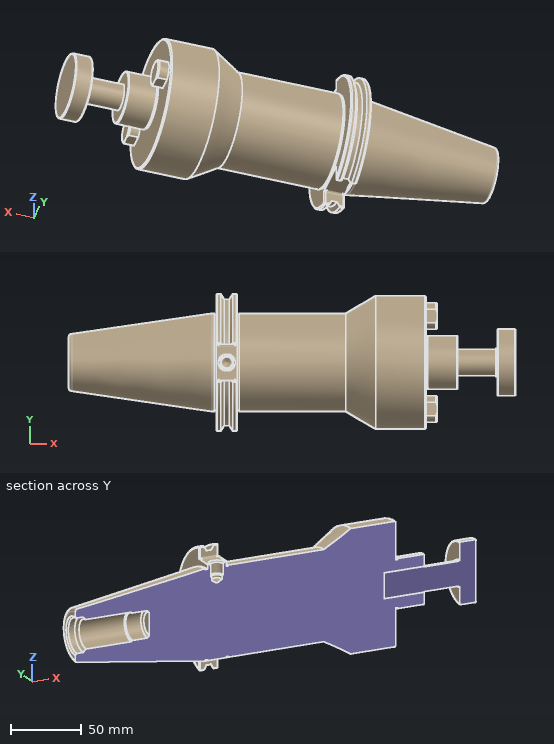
import cadquery as cq
import math

TOTAL_LENGTH = 318.0
EDGE_CHAMFER = 1.0
FINE_CHAMFER = 0.5

GAUGE_X = 101.8
GAUGE_DIAMETER = 70.0
TAPER_RATIO = 7 / 24
TAPER_END_DIAMETER = GAUGE_DIAMETER - GAUGE_X * TAPER_RATIO
TAPER_END_FILLET = 2.5

MOUTH_DIAMETER = 26.5
MOUTH_DEPTH = 6.5
MOUTH_CHAMFER = 1.3
THREAD_DIAMETER = 22.0
THREAD_DEPTH = 44.5
TAPPING_DIAMETER = 20.5
TAPPING_DEPTH = 57.3
BORE_END_DIAMETER = 17.2

FLANGE_X = 105.0
FLANGE_WIDTH = 15.3
FLANGE_DIAMETER = 98.0
FLANGE_END_X = FLANGE_X + FLANGE_WIDTH
V_GROOVE_X = 112.5
V_GROOVE_DEPTH = 3.8
V_GROOVE_FLOOR_WIDTH = 3.8
V_GROOVE_HALF_ANGLE = 30.0

RELIEF_WIDTH = 1.3
FLANGE_RELIEF_DIAMETER = 68.7
PILOT_RELIEF_DIAMETER = 36.5

NOTCH_WIDTH = 26.0
TOP_NOTCH_FLOOR_Z = 38.0
BOTTOM_NOTCH_FLOOR_Z = -35.0
NOTCH_FLOOR_FILLET = 1.0

FLOOR_HOLE_X = 112.5
FLOOR_HOLE_MOUTH_DIAMETER = 12.0
FLOOR_HOLE_THREAD_DIAMETER = 9.5
FLOOR_HOLE_THREAD_DEPTH = 9.5
FLOOR_HOLE_DRILL_DIAMETER = 8.0
FLOOR_HOLE_DEPTH = 12.7
DRILL_POINT_ANGLE = 118.0

BODY_DIAMETER = GAUGE_DIAMETER
BODY_END_X = 197.3
HEAD_X = 218.5
HEAD_DIAMETER = 95.0
HEAD_END_X = 254.5

PILOT_DIAMETER = 38.2
PILOT_END_X = 277.0

KEY_DIAMETER = 19.0
KEY_WIDTH = 16.5
KEY_HEIGHT = 8.0
KEY_OFFSET = 33.0

SHANK_DIAMETER = 19.0
SHANK_DEPTH = 31.8
COLLAR_DIAMETER = 20.5
COLLAR_LENGTH = 1.0
SCREW_HEAD_DIAMETER = 47.7
SCREW_HEAD_LENGTH = 13.0
SCREW_HEAD_X = TOTAL_LENGTH - SCREW_HEAD_LENGTH
SHANK_END_X = PILOT_END_X - SHANK_DEPTH


def cylinder(start_x, end_x, diameter):
    """Cylinder along the X axis."""
    return cq.Workplane("YZ", origin=(start_x, 0, 0)).circle(diameter / 2).extrude(end_x - start_x)


def revolved(points):
    """Solid of revolution about the X axis from (x, radius) points."""
    return cq.Workplane("XY").polyline(points).close().revolve(360, (0, 0, 0), (1, 0, 0))


def make_taper():
    taper = revolved([
        (0, 0),
        (0, TAPER_END_DIAMETER / 2),
        (GAUGE_X, GAUGE_DIAMETER / 2),
        (GAUGE_X, 0),
    ])
    return taper.faces("<X").edges().fillet(TAPER_END_FILLET)


def make_bore():
    mouth_radius = MOUTH_DIAMETER / 2
    thread_radius = THREAD_DIAMETER / 2
    tapping_radius = TAPPING_DIAMETER / 2
    end_radius = BORE_END_DIAMETER / 2
    return revolved([
        (0, 0),
        (0, mouth_radius + MOUTH_CHAMFER),
        (MOUTH_CHAMFER, mouth_radius),
        (MOUTH_DEPTH, mouth_radius),
        (MOUTH_DEPTH + mouth_radius - thread_radius, thread_radius),
        (THREAD_DEPTH, thread_radius),
        (THREAD_DEPTH + thread_radius - tapping_radius, tapping_radius),
        (TAPPING_DEPTH, tapping_radius),
        (TAPPING_DEPTH + tapping_radius - end_radius, end_radius),
        (TAPPING_DEPTH + tapping_radius - end_radius, 0),
    ])


def make_v_groove():
    rim_radius = FLANGE_DIAMETER / 2
    floor_radius = rim_radius - V_GROOVE_DEPTH
    half_floor = V_GROOVE_FLOOR_WIDTH / 2
    half_mouth = half_floor + V_GROOVE_DEPTH * math.tan(math.radians(V_GROOVE_HALF_ANGLE))
    return revolved([
        (V_GROOVE_X - half_mouth, rim_radius),
        (V_GROOVE_X - half_floor, floor_radius),
        (V_GROOVE_X + half_floor, floor_radius),
        (V_GROOVE_X + half_mouth, rim_radius),
    ])


def make_notch(floor_z):
    """Slot through the flange, from its floor out past the rim on the same side of the axis."""
    outer_z = math.copysign(FLANGE_DIAMETER / 2, floor_z)
    depth = abs(outer_z - floor_z)
    center = (FLANGE_X + FLANGE_WIDTH / 2, 0, (outer_z + floor_z) / 2)
    return cq.Workplane("XY", origin=center).box(FLANGE_WIDTH, NOTCH_WIDTH, depth)


def make_floor_hole():
    """Blind threaded hole with a 45 degree mouth and a drill point, revolved about its own axis along Z."""
    mouth_radius = FLOOR_HOLE_MOUTH_DIAMETER / 2
    thread_radius = FLOOR_HOLE_THREAD_DIAMETER / 2
    drill_radius = FLOOR_HOLE_DRILL_DIAMETER / 2
    point_length = drill_radius / math.tan(math.radians(DRILL_POINT_ANGLE / 2))
    return (
        cq.Workplane("XZ", origin=(FLOOR_HOLE_X, 0, TOP_NOTCH_FLOOR_Z))
        .polyline([
            (0, 0),
            (mouth_radius, 0),
            (thread_radius, thread_radius - mouth_radius),
            (thread_radius, -FLOOR_HOLE_THREAD_DEPTH),
            (drill_radius, -FLOOR_HOLE_THREAD_DEPTH - thread_radius + drill_radius),
            (drill_radius, -FLOOR_HOLE_DEPTH),
            (0, -FLOOR_HOLE_DEPTH - point_length),
        ])
        .close()
        .revolve(360, (0, 0, 0), (0, 1, 0))
    )


def make_flange():
    flange = cylinder(FLANGE_X, FLANGE_END_X, FLANGE_DIAMETER)
    for floor_z in (TOP_NOTCH_FLOOR_Z, BOTTOM_NOTCH_FLOOR_Z):
        flange = flange.cut(make_notch(floor_z))
    flange = flange.edges("%CIRCLE or |Z or >Z or <Z").chamfer(EDGE_CHAMFER)
    for floor_z in (TOP_NOTCH_FLOOR_Z, BOTTOM_NOTCH_FLOOR_Z):
        floor_corners = cq.selectors.BoxSelector(
            (FLANGE_X, -NOTCH_WIDTH, floor_z - EDGE_CHAMFER),
            (FLANGE_END_X, NOTCH_WIDTH, floor_z + EDGE_CHAMFER),
        )
        flange = flange.edges("|X").edges(floor_corners).fillet(NOTCH_FLOOR_FILLET)
    return flange.cut(make_v_groove())


def make_relief(start_x, outer_diameter, floor_diameter):
    """Ring that cuts a relief groove down to the floor diameter."""
    end_x = start_x + RELIEF_WIDTH
    return cylinder(start_x, end_x, outer_diameter).cut(cylinder(start_x, end_x, floor_diameter))


def make_body():
    head_radius = HEAD_DIAMETER / 2
    return revolved([
        (GAUGE_X, 0),
        (GAUGE_X, BODY_DIAMETER / 2),
        (BODY_END_X, BODY_DIAMETER / 2),
        (HEAD_X, head_radius),
        (HEAD_END_X - EDGE_CHAMFER, head_radius),
        (HEAD_END_X, head_radius - EDGE_CHAMFER),
        (HEAD_END_X, 0),
    ])


def make_pilot():
    return cylinder(HEAD_END_X, PILOT_END_X, PILOT_DIAMETER).faces(">X").edges().chamfer(FINE_CHAMFER)


def make_holder():
    holder = make_taper().union(make_body()).union(make_flange()).union(make_pilot())
    holder = holder.cut(make_bore()).cut(make_floor_hole())
    for relief_x in (FLANGE_X - RELIEF_WIDTH, FLANGE_END_X):
        holder = holder.cut(make_relief(relief_x, GAUGE_DIAMETER, FLANGE_RELIEF_DIAMETER))
    holder = holder.cut(make_relief(HEAD_END_X, PILOT_DIAMETER, PILOT_RELIEF_DIAMETER))
    return holder.cut(cylinder(SHANK_END_X, PILOT_END_X, SHANK_DIAMETER))


def make_drive_key(center_y):
    key_end_x = HEAD_END_X + KEY_HEIGHT
    pin = cylinder(HEAD_END_X, key_end_x, KEY_DIAMETER).faces(">X").edges().chamfer(EDGE_CHAMFER)
    between_flats = cq.Workplane("XY", origin=(HEAD_END_X + KEY_HEIGHT / 2, 0, 0)).box(
        KEY_HEIGHT, KEY_DIAMETER, KEY_WIDTH
    )
    return pin.intersect(between_flats).translate((0, center_y, 0))


def make_retaining_screw():
    head = cylinder(SCREW_HEAD_X, TOTAL_LENGTH, SCREW_HEAD_DIAMETER).edges().chamfer(FINE_CHAMFER)
    collar = cylinder(SCREW_HEAD_X - COLLAR_LENGTH, SCREW_HEAD_X, COLLAR_DIAMETER)
    shank = cylinder(SHANK_END_X, SCREW_HEAD_X, SHANK_DIAMETER)
    return head.union(collar).union(shank)


holder = make_holder()
retaining_screw = make_retaining_screw()
drive_keys = [make_drive_key(center_y) for center_y in (-KEY_OFFSET, KEY_OFFSET)]

result = cq.Compound.makeCompound([
    holder.val(),
    retaining_screw.val(),
    *[key.val() for key in drive_keys],
])